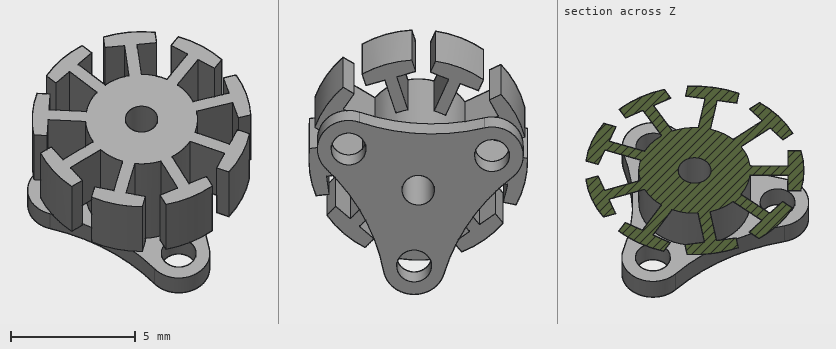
import cadquery as cq
import math

plate_height = 1.0
neck_height = 2.0
stator_height = 3.0
stator_base = plate_height + neck_height
total_height = stator_base + stator_height

core_diameter = 4.5
bore_diameter = 1.3

tooth_count = 9
stator_radius = 4.4
shoe_inner_radius = 3.745
shoe_width = 2.1
arm_width = 0.5

ear_count = 3
ear_distance = 3.33
ear_radius = 1.25
ear_hole_diameter = 1.4
side_arc_radius = 8.51


def polar(radius, degrees):
    angle = math.radians(degrees)
    return (radius * math.cos(angle), radius * math.sin(angle))


def make_plate():
    """Plate whose concave side arcs run tangent into the ear arcs."""
    ear_step = 360 / ear_count
    half_step = ear_step / 2
    half_span = ear_distance * math.sin(math.radians(half_step))
    center_gap = side_arc_radius + ear_radius
    side_center_distance = ear_distance * math.cos(math.radians(half_step)) + math.sqrt(
        center_gap**2 - half_span**2
    )
    side_middle_radius = side_center_distance - side_arc_radius
    tilt = math.degrees(math.asin(half_span / center_gap))
    normal_offset = half_step + tilt

    def tangent_point(ear_angle, turn):
        ear_x, ear_y = polar(ear_distance, ear_angle)
        offset_x, offset_y = polar(ear_radius, ear_angle + turn * normal_offset)
        return (ear_x + offset_x, ear_y + offset_y)

    first_ear_angle = 90
    outline = cq.Workplane("XY").moveTo(*tangent_point(first_ear_angle, -1))
    for index in range(ear_count):
        ear_angle = first_ear_angle + index * ear_step
        ear_tip = polar(ear_distance + ear_radius, ear_angle)
        side_middle = polar(side_middle_radius, ear_angle + half_step)
        outline = outline.threePointArc(ear_tip, tangent_point(ear_angle, 1))
        outline = outline.threePointArc(side_middle, tangent_point(ear_angle + ear_step, -1))
    plate = outline.close().extrude(plate_height)

    ear_holes = (
        cq.Workplane("XY")
        .polarArray(ear_distance, first_ear_angle, 360, ear_count)
        .circle(ear_hole_diameter / 2)
        .extrude(plate_height)
    )
    return plate.cut(ear_holes)


def make_tooth():
    """T-shaped tooth pointing along +Y, with a rounded outer face."""
    half_arm = arm_width / 2
    half_shoe = shoe_width / 2
    corner_y = math.sqrt(stator_radius**2 - half_shoe**2)
    return (
        cq.Workplane("XY", origin=(0, 0, stator_base))
        .moveTo(-half_arm, 0)
        .lineTo(half_arm, 0)
        .lineTo(half_arm, shoe_inner_radius)
        .lineTo(half_shoe, shoe_inner_radius)
        .lineTo(half_shoe, corner_y)
        .threePointArc((0, stator_radius), (-half_shoe, corner_y))
        .lineTo(-half_shoe, shoe_inner_radius)
        .lineTo(-half_arm, shoe_inner_radius)
        .close()
        .extrude(stator_height)
    )


core = cq.Workplane("XY").circle(core_diameter / 2).extrude(total_height)
bore = cq.Workplane("XY").circle(bore_diameter / 2).extrude(total_height)

body = make_plate().union(core)
tooth = make_tooth()
for index in range(tooth_count):
    tooth_angle = index * 360 / tooth_count
    body = body.union(tooth.rotate((0, 0, 0), (0, 0, 1), tooth_angle))

result = body.cut(bore)